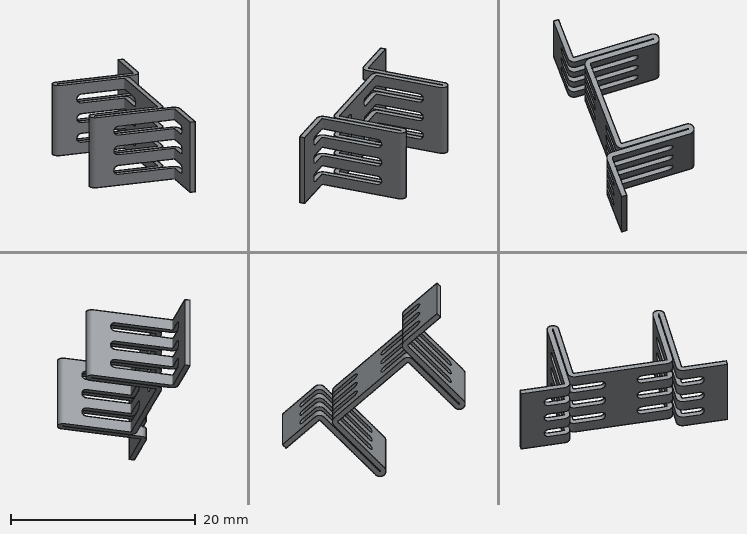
import cadquery as cq

total_length = 22.85
total_depth = 10.15
height = 8.0
sheet = 0.6
bend_inner_radius = 0.11
fold_gap = 0.1
fold_center_x = 5.85
web_setback = 1.49

slot_height = 1.0
slot_pitch = 2.25
slot_rows = 3
slot_web_end_x = 1.75
slot_flange_end_x = 8.85
slot_leg_depth = 7.57

bend_outer_radius = sheet + bend_inner_radius
fold_inner_radius = fold_gap / 2
fold_outer_radius = fold_inner_radius + sheet
back_y = total_depth / 2
front_y = -total_depth / 2
web_y = back_y - web_setback
end_x = total_length / 2
fold_center_y = front_y + fold_outer_radius
inner_leg_gap_x = fold_center_x - fold_inner_radius
outer_leg_gap_x = fold_center_x + fold_inner_radius
inner_leg_face_x = fold_center_x - fold_outer_radius
outer_leg_face_x = fold_center_x + fold_outer_radius


def half_strip():
    """The +X half of the folded strip, from the middle of the web to the flange end."""
    flange_front_y = back_y - sheet
    web_front_y = web_y - sheet
    outline = (
        cq.Workplane("XY", origin=(0, 0, -height / 2))
        .moveTo(0, web_y)
        .lineTo(inner_leg_gap_x - bend_outer_radius, web_y)
        .tangentArcPoint((inner_leg_gap_x, web_y - bend_outer_radius), relative=False)
        .lineTo(inner_leg_gap_x, fold_center_y)
        .tangentArcPoint((outer_leg_gap_x, fold_center_y), relative=False)
        .lineTo(outer_leg_gap_x, back_y - bend_outer_radius)
        .tangentArcPoint((outer_leg_gap_x + bend_outer_radius, back_y), relative=False)
        .lineTo(end_x, back_y)
        .lineTo(end_x, flange_front_y)
        .lineTo(outer_leg_face_x + bend_inner_radius, flange_front_y)
        .tangentArcPoint((outer_leg_face_x, flange_front_y - bend_inner_radius), relative=False)
        .lineTo(outer_leg_face_x, fold_center_y)
        .tangentArcPoint((inner_leg_face_x, fold_center_y), relative=False)
        .lineTo(inner_leg_face_x, web_front_y - bend_inner_radius)
        .tangentArcPoint((inner_leg_face_x - bend_inner_radius, web_front_y), relative=False)
        .lineTo(0, web_front_y)
        .close()
    )
    return outline.extrude(height)


def slot_cutter(z):
    """One slot at height z: through web and flange along Y, and through both legs along X."""
    web_bend_end_y = web_y - bend_outer_radius
    face_slot = (
        cq.Workplane("XZ", origin=((slot_web_end_x + slot_flange_end_x) / 2, back_y, z))
        .slot2D(slot_flange_end_x - slot_web_end_x, slot_height)
        .extrude(back_y - web_bend_end_y)
    )
    leg_slot = (
        cq.Workplane("YZ", origin=(inner_leg_face_x, back_y - slot_leg_depth / 2, z))
        .slot2D(slot_leg_depth, slot_height)
        .extrude(2 * fold_outer_radius)
    )
    return face_slot.union(leg_slot)


half = half_strip()
for row in range(slot_rows):
    slot_z = (row - (slot_rows - 1) / 2) * slot_pitch
    half = half.cut(slot_cutter(slot_z))

result = half.union(half.mirror("YZ"))